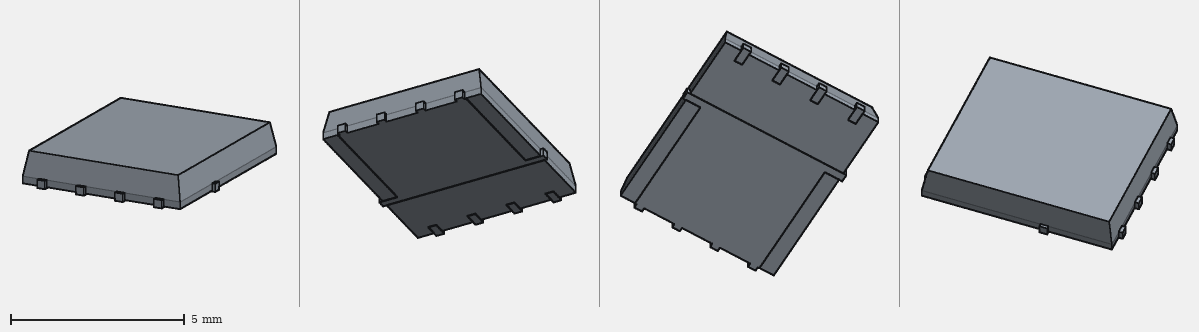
import cadquery as cq

total_width = 5.35
total_length = 6.15
total_height = 1.0

body_width = 5.155
body_length = 5.905
top_width = 4.885
top_length = 5.635
standoff = 0.025

metal_height = 0.25
lead_pitch = 1.27
lead_width = 0.26
lead_count = 4
lead_foot_length = 0.505
tab_width = 0.24
tab_y = -0.86
pad_width = 4.18

lead_xs = [(i - (lead_count - 1) / 2) * lead_pitch for i in range(lead_count)]


def make_body():
    """Rectangular base band with a tapered cap up to the flat top."""
    base = cq.Workplane("XY").box(
        body_width, body_length, metal_height - standoff, centered=(True, True, False)
    ).translate((0, 0, standoff))
    cap = (
        cq.Workplane("XY")
        .workplane(offset=metal_height)
        .rect(body_width, body_length)
        .workplane(offset=total_height - metal_height)
        .rect(top_width, top_length)
        .loft(ruled=True)
    )
    return base.union(cap)


def metal_bar(width, y_min, y_max, x=0):
    """Block of lead-frame metal resting on the mounting plane."""
    return cq.Workplane("XY").box(
        width, y_max - y_min, metal_height, centered=(True, True, False)
    ).translate((x, (y_min + y_max) / 2, 0))


result = make_body()

tab_y_max = tab_y + tab_width / 2
for lead_x in lead_xs:
    result = result.union(
        metal_bar(lead_width, -total_length / 2, -total_length / 2 + lead_foot_length, lead_x)
    )
    result = result.union(metal_bar(lead_width, tab_y_max, total_length / 2, lead_x))

result = result.union(metal_bar(pad_width, tab_y_max, body_length / 2))
result = result.union(metal_bar(total_width, tab_y - tab_width / 2, tab_y_max))